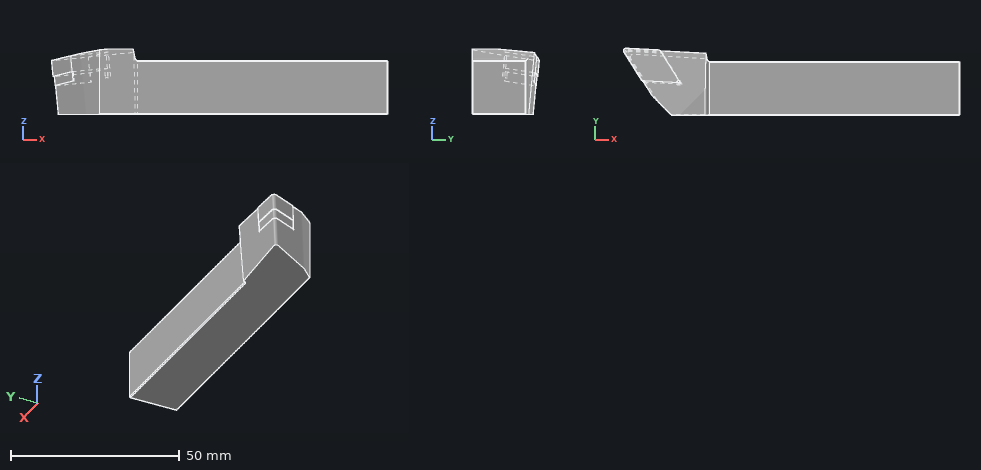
import cadquery as cq
import math

total_length = 100.0
shank_size = 16.0
edge_chamfer = 0.3

head_width = 20.0
head_height = 19.5
step_x = 24.3
step_angle = 12.0
step_fillet = 0.8
step_lean = math.tan(math.radians(step_angle))
step_foot_x = step_x + (head_height - shank_size) * step_lean
nose_face_x = 14.35
head_joint_x = 25.6
flank_blend = 4.7

rake_line_x = 16.8
rake_angle = 7.7

insert_side = 11.5
insert_angle = 55.0
nose_radius = 0.8
insert_thickness = 4.76
seat_thickness = 2.8
lead_angle = 3.0
seat_setback = 0.2
head_setback = 0.26
deep = 40.0

rake_cos = math.cos(math.radians(rake_angle))
rake_sin = math.sin(math.radians(rake_angle))
rake_normal = cq.Vector(-rake_sin / math.sqrt(2), rake_sin / math.sqrt(2), rake_cos)
along_rake_normal = cq.selectors.ParallelDirSelector(rake_normal)


def rake_plane(depth):
    """Workplane parallel to the rake plane, the given depth below it."""
    origin = cq.Vector(rake_line_x, 0, head_height) - rake_normal * depth
    return cq.Workplane(cq.Plane(origin=origin.toTuple(), xDir=(1, 1, 0), normal=rake_normal.toTuple()))


def on_rake(x, y):
    """Rake plane coordinates of the point of that plane straight above (x, y)."""
    along = (x - rake_line_x + y) / math.sqrt(2)
    across = (y - x + rake_line_x) / math.sqrt(2)
    return along, across / rake_cos


def heading(degrees):
    """Unit direction in plan, measured from +X."""
    return math.cos(math.radians(degrees)), math.sin(math.radians(degrees))


def moved(point, direction, distance):
    """Plan point shifted along a direction."""
    return point[0] + direction[0] * distance, point[1] + direction[1] * distance


back_edge = heading(-lead_angle)
flank_edge = heading(-lead_angle - insert_angle)
bisector = heading(-lead_angle - insert_angle / 2)
half_angle_sin = math.sin(math.radians(insert_angle / 2))
nose_center = (nose_radius, head_width - nose_radius)
tip = moved(nose_center, bisector, -nose_radius / half_angle_sin)
far_corner = moved(moved(tip, back_edge, insert_side), flank_edge, insert_side)


def set_back_tip(setback):
    """Sharp tip after both cutting edges move inward by the setback."""
    return moved(tip, bisector, setback / half_angle_sin)


def diamond(setback, depth, thickness):
    """Sharp diamond plate that shares its far corner with the insert."""
    start = set_back_tip(setback)
    side = insert_side - setback / math.sin(math.radians(insert_angle))
    corners = [
        start,
        moved(start, flank_edge, side),
        far_corner,
        moved(start, back_edge, side),
    ]
    return rake_plane(depth).polyline([on_rake(*c) for c in corners]).close().extrude(-thickness)


def rounded_diamond(setback, depth, thickness):
    """The same plate with all four upright edges rounded."""
    return diamond(setback, depth, thickness).edges(along_rake_normal).fillet(nose_radius)


def stepped_slab(plane, head_size, foot_edge):
    """Slab along X, thick at the head and thin at the shank, with a leaning filleted step.

    foot_edge is a point on the inner edge at the foot of the step.
    """
    top_x = step_foot_x - (head_size - shank_size) * step_lean
    slab = (
        cq.Workplane(plane)
        .polyline([
            (0, 0), (total_length, 0), (total_length, shank_size),
            (step_foot_x, shank_size), (top_x, head_size), (0, head_size),
        ])
        .close()
        .extrude(deep, both=True)
    )
    return slab.edges(cq.selectors.NearestToPointSelector(foot_edge)).fillet(step_fillet)


def make_shank():
    """Square bar, with its long edges and rear end chamfered."""
    return (
        cq.Workplane("XY")
        .box(total_length - nose_face_x, shank_size, shank_size, centered=False)
        .translate((nose_face_x, 0, 0))
        .edges("|X or >X")
        .chamfer(edge_chamfer)
    )


def make_head():
    """Head block whose flanks stand square to the rake plane."""
    start = set_back_tip(head_setback)
    reach = (nose_face_x - start[0] - start[1]) / (flank_edge[0] + flank_edge[1])
    flank_end = moved(start, flank_edge, reach)
    back_end = moved(start, back_edge, deep)
    outline = [start, flank_end, (nose_face_x + deep, -deep), back_end]
    prism = rake_plane(0).polyline([on_rake(*p) for p in outline]).close().extrude(-deep)
    prism = prism.edges(along_rake_normal).edges("<X").fillet(nose_radius)
    middle_of_corner = rake_plane(deep / 2).pushPoints([on_rake(*flank_end)]).val().toTuple()
    prism = prism.edges(cq.selectors.NearestToPointSelector(middle_of_corner)).fillet(flank_blend)
    bounds = cq.Workplane("XY").box(head_joint_x, deep, head_height, centered=False)
    bounds = bounds.faces("<Y").edges("<Z").chamfer(edge_chamfer)
    return prism.intersect(bounds)


def make_holder():
    """Shank and head with the insert pocket cut in and the raised seat at its bottom."""
    top_step = stepped_slab("XZ", head_height, (step_foot_x, 0, shank_size))
    back_step = stepped_slab("XY", head_width, (step_foot_x, shank_size, 0))
    head = make_head().intersect(top_step).intersect(back_step)
    pocket = diamond(0, 0, insert_thickness + seat_thickness)
    seat = rounded_diamond(seat_setback, insert_thickness, seat_thickness)
    return make_shank().union(head).cut(pocket).union(seat)


holder = make_holder()
insert = rounded_diamond(0, 0, insert_thickness)
result = cq.Compound.makeCompound([holder.val(), insert.val()])